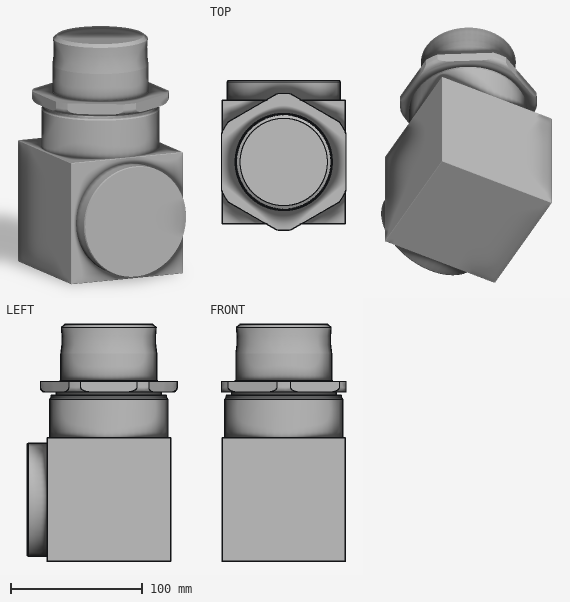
import cadquery as cq
import math

block_side = 94.2
block_edge_chamfer = 0.4

collar_diameter = 90.0
collar_rim_diameter = 88.0
collar_top = 126.5
collar_chamfer_bottom = 123.5
collar_chamfer_top = 124.5
collar_rim_chamfer = 0.5
neck_diameter = 80.0
plug_base_diameter = 74.0
plug_diameter = 73.0
plug_waist_diameter = 71.1
plug_shoulder_diameter = 72.2
plug_tip_diameter = 66.4
plug_waist_bottom = 157.9
plug_shoulder = 178.1
plug_top = 180.5

nut_across_flats = 95.0
nut_corner_diameter = 104.1
nut_bottom = 128.8
nut_top = 137.0
nut_corner_radius = 3.6

plug_base_step = 0.5
plug_base_top = nut_top + plug_base_step

cap_diameter = 86.0
cap_end_diameter = 85.0
overall_depth = 114.0
cap_end_y = overall_depth - nut_corner_diameter / 2
cap_chamfer_length = 1.0


def make_housing():
    block = cq.Workplane("XY").box(block_side, block_side, block_side, centered=(True, True, False))
    return block.edges().chamfer(block_edge_chamfer)


def make_core():
    waist_middle = (plug_waist_bottom + plug_shoulder) / 2
    profile = (
        cq.Workplane("XZ")
        .moveTo(0, block_side)
        .lineTo(collar_diameter / 2, block_side)
        .lineTo(collar_diameter / 2, collar_chamfer_bottom)
        .lineTo(collar_rim_diameter / 2, collar_chamfer_top)
        .lineTo(collar_rim_diameter / 2, collar_top - collar_rim_chamfer)
        .lineTo(collar_rim_diameter / 2 - collar_rim_chamfer, collar_top)
        .lineTo(neck_diameter / 2, collar_top)
        .lineTo(neck_diameter / 2, nut_bottom)
        .lineTo(plug_base_diameter / 2, nut_bottom)
        .lineTo(plug_base_diameter / 2, plug_base_top)
        .lineTo(plug_diameter / 2, plug_base_top)
        .lineTo(plug_diameter / 2, plug_waist_bottom)
        .threePointArc((plug_waist_diameter / 2, waist_middle), (plug_shoulder_diameter / 2, plug_shoulder))
        .lineTo(plug_tip_diameter / 2, plug_top)
        .lineTo(0, plug_top)
        .close()
    )
    return profile.revolve(360, (0, 0, 0), (0, 1, 0))


def make_nut():
    height = nut_top - nut_bottom
    across_corners = nut_across_flats / math.cos(math.pi / 6)
    hexagon = (
        cq.Workplane("XY", origin=(0, 0, nut_bottom))
        .transformed(rotate=(0, 0, 30))
        .polygon(6, across_corners)
        .extrude(height)
    )
    corner_disc = (
        cq.Workplane("XY", origin=(0, 0, nut_bottom))
        .circle(nut_corner_diameter / 2)
        .extrude(height)
        .faces("<Z")
        .edges()
        .fillet(nut_corner_radius)
    )
    bore = cq.Workplane("XY", origin=(0, 0, nut_bottom)).circle(plug_base_diameter / 2).extrude(height)
    return hexagon.intersect(corner_disc).cut(bore)


def make_cap():
    block_face_y = block_side / 2
    profile = (
        cq.Workplane("XY", origin=(0, 0, block_side / 2))
        .moveTo(0, block_face_y)
        .lineTo(cap_diameter / 2, block_face_y)
        .lineTo(cap_diameter / 2, cap_end_y - cap_chamfer_length)
        .lineTo(cap_end_diameter / 2, cap_end_y)
        .lineTo(0, cap_end_y)
        .close()
    )
    return profile.revolve(360, (0, 0, 0), (0, 1, 0))


housing = make_housing()
core = make_core()
nut = make_nut()
cap = make_cap()

result = cq.Compound.makeCompound([housing.val(), core.val(), nut.val(), cap.val()])